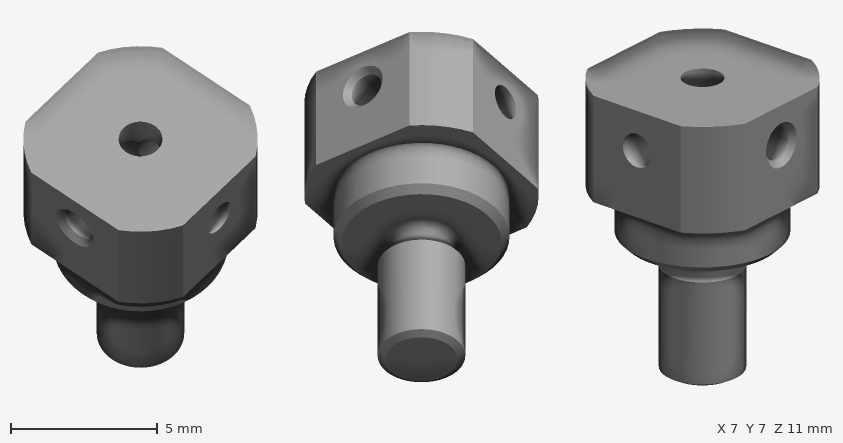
import cadquery as cq
import math

total_height = 11.0
head_height = 4.0
collar_height = 2.0
undercut_length = 1.0

head_bottom = total_height - head_height
collar_bottom = head_bottom - collar_height
stud_top = collar_bottom - undercut_length

head_width = 7.0
head_diameter = 8.0

collar_radius = 3.0
collar_chamfer = 0.26

stud_radius = 1.5
stud_tip_width = 0.26
stud_tip_slope = 30.0
neck_radius = 1.1
neck_fillet = 0.3
undercut_slope = 60.0

cross_hole_drop = 1.5
cross_hole_z = total_height - cross_hole_drop
x_hole_diameter = 1.25
y_hole_diameter = 1.22
y_countersink_diameter = 1.65
top_hole_diameter = 1.5
top_hole_depth = 2.5
drill_point_angle = 118.0


def make_head():
    """Round bar cut by four flats."""
    base = cq.Workplane("XY").workplane(offset=head_bottom)
    bar = base.circle(head_diameter / 2).extrude(head_height)
    flats = base.rect(head_width, head_width).extrude(head_height)
    return bar.intersect(flats)


def make_shank():
    """Collar, undercut neck and stud, turned as one profile about Z."""
    tip_height = stud_tip_width * math.tan(math.radians(stud_tip_slope))

    upper_fillet_z = collar_bottom - neck_fillet
    upper_middle = neck_fillet * (1 - math.sqrt(0.5))

    slope = math.radians(undercut_slope)
    fillet_end_r = neck_radius + neck_fillet * (1 - math.cos(slope))
    fillet_end_z = stud_top + (stud_radius - fillet_end_r) / math.tan(slope)
    lower_fillet_z = fillet_end_z + neck_fillet * math.sin(slope)
    lower_middle_r = neck_radius + neck_fillet * (1 - math.cos(slope / 2))
    lower_middle_z = lower_fillet_z - neck_fillet * math.sin(slope / 2)

    profile = (
        cq.Workplane("XZ")
        .moveTo(0, 0)
        .lineTo(stud_radius - stud_tip_width, 0)
        .lineTo(stud_radius, tip_height)
        .lineTo(stud_radius, stud_top)
        .lineTo(fillet_end_r, fillet_end_z)
        .threePointArc((lower_middle_r, lower_middle_z), (neck_radius, lower_fillet_z))
        .lineTo(neck_radius, upper_fillet_z)
        .threePointArc(
            (neck_radius + upper_middle, collar_bottom - upper_middle),
            (neck_radius + neck_fillet, collar_bottom),
        )
        .lineTo(collar_radius - collar_chamfer, collar_bottom)
        .lineTo(collar_radius, collar_bottom + collar_chamfer)
        .lineTo(collar_radius, head_bottom)
        .lineTo(0, head_bottom)
        .close()
    )
    return profile.revolve(360, (0, 0), (0, 1))


def make_cross_bore(plane, diameter):
    """Straight bore through the head, at right angles to the given plane."""
    section = cq.Workplane(plane).center(0, cross_hole_z).circle(diameter / 2)
    return section.extrude(head_width / 2, both=True)


def make_x_hole():
    """Plain hole through the head along X."""
    return make_cross_bore("YZ", x_hole_diameter)


def make_y_hole():
    """Hole through the head along Y, with a 45 degree countersink on the -Y flat."""
    countersink_depth = (y_countersink_diameter - y_hole_diameter) / 2
    bore = make_cross_bore("XZ", y_hole_diameter)
    countersink = cq.Solid.makeCone(
        y_countersink_diameter / 2,
        y_hole_diameter / 2,
        countersink_depth,
        cq.Vector(0, -head_width / 2, cross_hole_z),
        cq.Vector(0, 1, 0),
    )
    return bore.union(cq.Workplane(countersink))


def make_top_hole():
    """Blind hole down from the top face, ending in a drill point."""
    radius = top_hole_diameter / 2
    point_height = radius / math.tan(math.radians(drill_point_angle / 2))
    shoulder_z = total_height - top_hole_depth
    return (
        cq.Workplane("XZ")
        .moveTo(0, total_height)
        .lineTo(radius, total_height)
        .lineTo(radius, shoulder_z)
        .lineTo(0, shoulder_z - point_height)
        .close()
        .revolve(360, (0, 0), (0, 1))
    )


body = make_head().union(make_shank())
result = body.cut(make_x_hole()).cut(make_y_hole()).cut(make_top_hole())